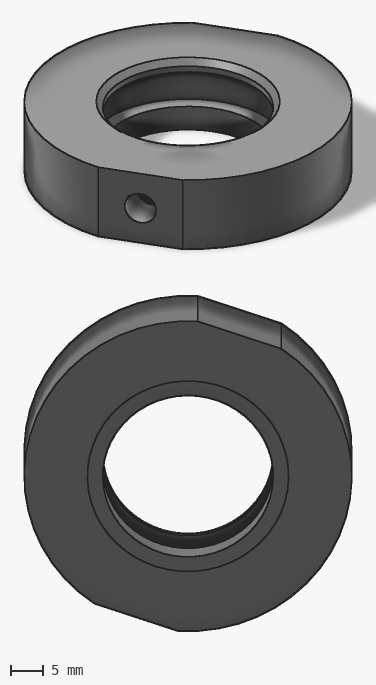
import cadquery as cq

outer_diameter = 49.8
width_across_flats = 48.0
height = 12.0
bore_diameter = 25.9
bore_chamfer = 1.0

counterbore_diameter = 30.6
lip_height = 2.0
counterbore_depth = height - lip_height

ring_height = 4.05

radial_hole_diameter = 5.0
radial_hole_depth = 6.0


def cylinder(diameter, length):
    """Upright cylinder standing on the bottom plane."""
    return cq.Workplane("XY").circle(diameter / 2).extrude(length)


def make_body():
    """Disc with two parallel flats."""
    flats = cq.Workplane("XY").rect(outer_diameter, width_across_flats).extrude(height)
    return cylinder(outer_diameter, height).intersect(flats)


def make_bore():
    """Through bore, chamfered at the top and counterbored from the bottom."""
    bore = cylinder(bore_diameter, height)
    counterbore = cylinder(counterbore_diameter, counterbore_depth)
    chamfer_cone = (
        cq.Workplane("XY", origin=(0, 0, height))
        .circle(bore_diameter / 2 + bore_chamfer)
        .extrude(-bore_chamfer, taper=45)
    )
    return bore.union(counterbore).union(chamfer_cone)


def make_radial_hole():
    """Flat-bottomed hole running inward from the -Y flat at mid-height."""
    return (
        cq.Workplane("XZ", origin=(0, -width_across_flats / 2, height / 2))
        .circle(radial_hole_diameter / 2)
        .extrude(-radial_hole_depth)
    )


def make_collar():
    """Outer collar with its bore and radial hole."""
    return make_body().cut(make_bore()).cut(make_radial_hole())


def make_retaining_ring():
    """Plain ring filling the lower part of the counterbore."""
    return cylinder(counterbore_diameter, ring_height).cut(cylinder(bore_diameter, ring_height))


collar = make_collar()
retaining_ring = make_retaining_ring()

result = cq.Compound.makeCompound([collar.val(), retaining_ring.val()])